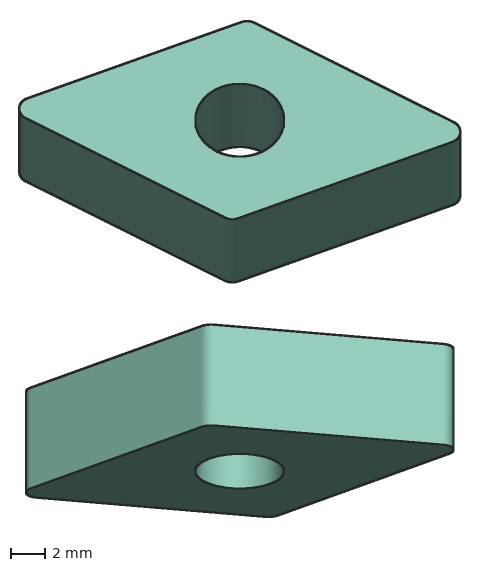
import cadquery as cq
import math

length = 22.93
width = 12.7
thickness = 6.35
hole_diameter = 5.15
acute_angle = math.radians(55)

side = width / math.sin(acute_angle)
lean = width / math.tan(acute_angle)
sharp_length = side + lean

end_loss_per_radius = 1 / math.tan(acute_angle / 2) - 1
corner_radius = (sharp_length - length) / (2 * end_loss_per_radius)

half_length = sharp_length / 2
half_width = width / 2
corners = [
    (-half_length, -half_width),
    (side - half_length, -half_width),
    (half_length, half_width),
    (half_length - side, half_width),
]

plate = cq.Workplane("XY").polyline(corners).close().extrude(thickness)
plate = plate.edges("|Z").fillet(corner_radius)

result = plate.faces(">Z").workplane(origin=(0, 0, thickness)).hole(hole_diameter)